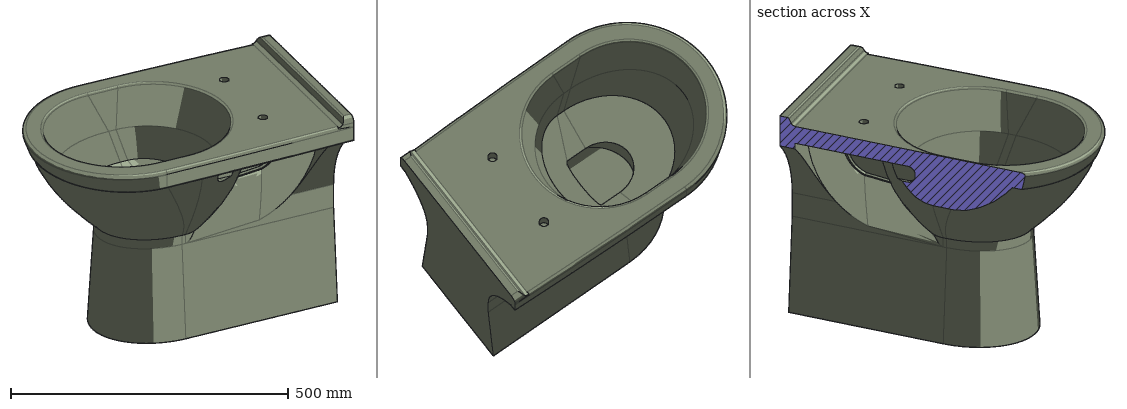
import cadquery as cq

PICK_MARGIN = 1.0

PLATE_DEPTH = 560.0
PLATE_HALF_WIDTH = 180.0
PLATE_BACK_HALF_WIDTH = 174.0
PLATE_NOSE_CENTRE = PLATE_DEPTH - PLATE_HALF_WIDTH
PLATE_TOP = 400.0
PLATE_BOTTOM = 365.0
PLATE_TAPER_START = 393.0
PLATE_BOTTOM_DEPTH = 549.0
PLATE_TOP_ROUND = 6.0
PLATE_BOTTOM_ROUND = 3.0

LEDGE_TOP = 415.0
LEDGE_TOP_DEPTH = 17.0
LEDGE_FOOT_DEPTH = 31.0
LEDGE_COVE_DEPTH = 22.5
LEDGE_COVE_TOP = 405.0
LEDGE_COVE_MIDDLE = (25.8, 401.4)
LEDGE_END_ROUND = 12.0
LEDGE_FRONT_ROUND = 4.0

PEDESTAL_TOP = 187.5
PEDESTAL_FOOT = dict(half_width=108.0, nose_start=306.0, front=440.5)
PEDESTAL_NECK = dict(half_width=92.5, nose_start=306.0, front=430.0)

BOWL_NECK_TOP = 206.0
BOWL_NECK = dict(
    half_width=PEDESTAL_NECK["half_width"],
    back=235.0,
    back_centre=299.0,
    front_centre=PEDESTAL_NECK["nose_start"],
    front=PEDESTAL_NECK["front"],
)
BOWL_SECTIONS = [
    dict(BOWL_NECK, z=BOWL_NECK_TOP),
    dict(z=255.0, half_width=126.0, back=185.0, back_centre=303.0, front_centre=320.0, front=478.0),
    dict(z=309.0, half_width=151.0, back=158.0, back_centre=302.0, front_centre=345.0, front=520.0),
    dict(z=372.0, half_width=169.0, back=150.0, back_centre=302.0, front_centre=378.0, front=549.0),
]

OPENING = dict(half_width=141.5, back=177.0, back_centre=318.0, front_centre=380.0, front=524.5)
OPENING_ROUND = 4.5
RIM_WALL_BOTTOM = dict(z=322.0, half_width=125.0, back=203.0, back_centre=330.0, front_centre=345.0, front=504.0)
FUNNEL_MIDDLE = dict(z=257.0, half_width=118.0, back=225.0, back_centre=310.0, front_centre=325.0, front=461.0)
SUMP_EDGE = dict(half_width=52.5, back=276.0, back_centre=284.0, front_centre=325.0, front=383.0)
SUMP_EDGE_HEIGHT = 205.0

HOUSING_DEPTH = PEDESTAL_NECK["nose_start"]
FLARE_START = 235.0
FLARE_END_HALF_WIDTH = 160.0

RECESS_PANEL_X = 50.0
RECESS_SHOULDER_X = 81.0
RECESS_MOUTH_X = PEDESTAL_NECK["half_width"]
RECESS_FRONT = 300.0
LOWER_PANEL_X = 42.0

MOUTH = dict(
    top_back=(30.0, PLATE_BOTTOM),
    swell=(70.0, 252.0),
    floor_back=(150.0, 199.0),
    floor_front=(RECESS_FRONT, PEDESTAL_TOP),
    top_front=(RECESS_FRONT, PLATE_BOTTOM),
)
SHOULDER = dict(
    top_back=(46.0, 360.0),
    swell=(81.0, 273.0),
    floor_back=(141.0, 236.0),
    floor_front=(RECESS_FRONT, 222.0),
    top_front=(RECESS_FRONT, 358.0),
)
PANEL = dict(
    top_back=(82.0, 347.0),
    swell=(92.0, 300.0),
    floor_back=(124.0, 276.0),
    floor_front=(RECESS_FRONT, 260.0),
    top_front=(RECESS_FRONT, 341.0),
)
LOWER_PANEL_RIM = dict(
    top_back=(86.0, 330.0),
    swell=(95.0, 301.0),
    floor_back=(125.0, 278.0),
    floor_front=(RECESS_FRONT, 262.0),
    top_front=(RECESS_FRONT, 314.0),
)
LOWER_PANEL = dict(LOWER_PANEL_RIM, top_back=(88.0, 318.0), top_front=(RECESS_FRONT, 302.0))

SEAT_HOLE_DIAMETER = 17.0
SEAT_HOLE_X = 78.0
SEAT_HOLE_FROM_WALL = 135.5
SEAT_HOLE_DEPTH = 25.0

HAND_POCKET_X = 140.0
HAND_POCKET_BACK = 160.0
HAND_POCKET_FRONT = 267.0
HAND_POCKET_FLOOR = 334.0
HAND_POCKET_ROUND = 14.0


def half_ellipse(z, half_width, centre, length, front):
    """Half ellipse across the pan, bulging to the front or to the back."""
    start = 180 if front else 0
    long_axis_across = half_width >= length
    return cq.Edge.makeEllipse(
        half_width if long_axis_across else length,
        length if long_axis_across else half_width,
        pnt=cq.Vector(0, -centre, z),
        xdir=cq.Vector(1, 0, 0) if long_axis_across else cq.Vector(0, 1, 0),
        angle1=start if long_axis_across else start - 90,
        angle2=start + 180 if long_axis_across else start + 90,
    )


def egg_wire(z, half_width, back, back_centre, front_centre, front):
    """Level egg-shaped outline: two half ellipses joined by straight sides."""
    edges = [
        half_ellipse(z, half_width, back_centre, back_centre - back, front=False),
        half_ellipse(z, half_width, front_centre, front - front_centre, front=True),
    ]
    for x in (half_width, -half_width):
        side = cq.Edge.makeLine(cq.Vector(x, -back_centre, z), cq.Vector(x, -front_centre, z))
        edges.append(side)
    return cq.Wire.assembleEdges(cq.Wire.combine(edges)[0].Edges())


def egg_loft(sections, ruled=False):
    """Solid through egg-shaped levels, listed from the bottom up."""
    wires = [egg_wire(**section) for section in sections]
    return cq.Workplane(cq.Solid.makeLoft(wires, ruled))


def nosed_wire(z, back_half_width, half_width, nose_start, front):
    """Level outline with a straight edge on the wall, gently bowed sides and an elliptical nose."""
    edges = [half_ellipse(z, half_width, nose_start, front - nose_start, front=True)]
    for hand in (-1, 1):
        nose_end = cq.Vector(hand * half_width, -nose_start, z)
        wall_corner = cq.Vector(hand * back_half_width, 0, z)
        if half_width == back_half_width:
            edges.append(cq.Edge.makeLine(nose_end, wall_corner))
        else:
            edges.append(cq.Edge.makeTangentArc(nose_end, cq.Vector(0, 1, 0), wall_corner))
    edges.append(cq.Edge.makeLine(cq.Vector(-back_half_width, 0, z), cq.Vector(back_half_width, 0, z)))
    return cq.Wire.assembleEdges(cq.Wire.combine(edges)[0].Edges())


def plate_wire(z, front):
    """Level outline of the rim plate with its nose reaching the given depth."""
    return nosed_wire(z, PLATE_BACK_HALF_WIDTH, PLATE_HALF_WIDTH, PLATE_NOSE_CENTRE, front)


def make_plate():
    """Rim plate whose nose leans back towards its underside."""
    lower_wires = [plate_wire(PLATE_BOTTOM, PLATE_BOTTOM_DEPTH), plate_wire(PLATE_TAPER_START, PLATE_DEPTH)]
    lower = cq.Workplane(cq.Solid.makeLoft(lower_wires, True))
    lower = lower.faces("<Z").edges("not #Y").fillet(PLATE_BOTTOM_ROUND)
    upper_height = cq.Vector(0, 0, PLATE_TOP - PLATE_TAPER_START)
    upper_wire = plate_wire(PLATE_TAPER_START, PLATE_DEPTH)
    upper = cq.Workplane(cq.Solid.extrudeLinear(upper_wire, [], upper_height))
    upper = upper.faces(">Z").edges("not(>Y)").fillet(PLATE_TOP_ROUND)
    return lower.union(upper)


def make_ledge():
    """Raised strip along the wall with a coved foot and rounded ends."""
    cove_depth, cove_height = LEDGE_COVE_MIDDLE
    end_to_end = 2 * PLATE_BACK_HALF_WIDTH
    ledge = (
        cq.Workplane("YZ", origin=(-PLATE_BACK_HALF_WIDTH, 0, 0))
        .moveTo(0, PLATE_TAPER_START)
        .lineTo(0, LEDGE_TOP)
        .lineTo(-LEDGE_TOP_DEPTH, LEDGE_TOP)
        .lineTo(-LEDGE_COVE_DEPTH, LEDGE_COVE_TOP)
        .threePointArc((-cove_depth, cove_height), (-LEDGE_FOOT_DEPTH, PLATE_TOP))
        .lineTo(-LEDGE_FOOT_DEPTH, PLATE_TAPER_START)
        .close()
        .extrude(end_to_end)
    )
    top_edge = cq.selectors.BoxSelector(
        (-end_to_end, -LEDGE_TOP_DEPTH - PICK_MARGIN, LEDGE_TOP - PICK_MARGIN),
        (end_to_end, -LEDGE_TOP_DEPTH + PICK_MARGIN, LEDGE_TOP + PICK_MARGIN),
    )
    ledge = ledge.edges(top_edge).fillet(LEDGE_FRONT_ROUND)
    end_rounding = (
        cq.Workplane("XZ")
        .rect(end_to_end, 2 * LEDGE_TOP)
        .extrude(LEDGE_FOOT_DEPTH)
        .edges("|Y and >Z")
        .fillet(LEDGE_END_ROUND)
    )
    return ledge.intersect(end_rounding)


def make_pedestal():
    """Foot that narrows upwards from the floor."""
    wires = []
    for z, level in ((0, PEDESTAL_FOOT), (PEDESTAL_TOP, PEDESTAL_NECK)):
        half_width = level["half_width"]
        wires.append(nosed_wire(z, half_width, half_width, level["nose_start"], level["front"]))
    return cq.Workplane(cq.Solid.makeLoft(wires, True))


def make_bowl():
    """Outside of the bowl on its straight neck, with the hand pockets cut out."""
    neck_height = cq.Vector(0, 0, BOWL_NECK_TOP - PEDESTAL_TOP)
    neck = cq.Workplane(cq.Solid.extrudeLinear(egg_wire(PEDESTAL_TOP, **BOWL_NECK), [], neck_height))
    return egg_loft(BOWL_SECTIONS).union(neck).cut(both_sides(make_hand_pocket()))


def make_housing():
    """Block behind the bowl, flaring outwards under the rim plate."""
    half_width = PEDESTAL_NECK["half_width"]
    half = (
        cq.Workplane("XZ")
        .moveTo(0, PEDESTAL_TOP)
        .lineTo(half_width, PEDESTAL_TOP)
        .lineTo(half_width, FLARE_START)
        .tangentArcPoint((FLARE_END_HALF_WIDTH, PLATE_BOTTOM), relative=False)
        .lineTo(0, PLATE_BOTTOM)
        .close()
        .extrude(HOUSING_DEPTH)
    )
    return both_sides(half.cut(make_recess()))


def recess_wire(x, top_back, swell, floor_back, floor_front, top_front):
    """Outline of a side recess in an upright plane; each point is (depth, height)."""
    points = [cq.Vector(x, -depth, height) for depth, height in (floor_back, floor_front, top_front, top_back)]
    middle = cq.Vector(x, -swell[0], swell[1])
    edges = [cq.Edge.makeThreePointArc(points[-1], middle, points[0])]
    edges += [cq.Edge.makeLine(start, end) for start, end in zip(points, points[1:])]
    return cq.Wire.assembleEdges(edges)


def make_recess():
    """Side recess on +X: a mouth narrowing inwards to an upright panel with a deeper lower part."""
    mouth = recess_wire(RECESS_MOUTH_X, **MOUTH)
    shoulder = recess_wire(RECESS_SHOULDER_X, **SHOULDER)
    panel = recess_wire(RECESS_PANEL_X, **PANEL)
    rounded = cq.Workplane(cq.Solid.makeLoft([mouth, shoulder, panel], False))
    outside = recess_wire(PLATE_HALF_WIDTH, **MOUTH)
    outer = cq.Workplane(cq.Solid.makeLoft([outside, mouth], True))
    lower_rim = recess_wire(RECESS_PANEL_X, **LOWER_PANEL_RIM)
    lower_panel = recess_wire(LOWER_PANEL_X, **LOWER_PANEL)
    lower = cq.Workplane(cq.Solid.makeLoft([lower_rim, lower_panel], True))
    return outer.union(rounded).union(lower)


def make_hand_pocket():
    """Pocket on +X, cut into the bowl side just under the rim plate."""
    length = HAND_POCKET_FRONT - HAND_POCKET_BACK
    height = PLATE_BOTTOM - HAND_POCKET_FLOOR
    return (
        cq.Workplane("YZ", origin=(HAND_POCKET_X, 0, 0))
        .center(-HAND_POCKET_BACK - length / 2, HAND_POCKET_FLOOR + height / 2)
        .rect(length, height)
        .extrude(PLATE_HALF_WIDTH - HAND_POCKET_X)
        .edges("|X and <Y")
        .fillet(HAND_POCKET_ROUND)
    )


def both_sides(feature):
    """Feature on +X together with its mirror image on -X."""
    return feature.union(feature.mirror("YZ"))


def make_cavity():
    """Inside of the bowl: rim wall, funnel and round-bottomed sump."""
    sump_edge = dict(SUMP_EDGE, z=SUMP_EDGE_HEIGHT)
    rim_wall = egg_loft([RIM_WALL_BOTTOM, dict(OPENING, z=PLATE_TOP)], ruled=True)
    funnel = egg_loft([sump_edge, FUNNEL_MIDDLE, RIM_WALL_BOTTOM], ruled=True)
    radius = SUMP_EDGE["half_width"]
    sump_plan = cq.Workplane(cq.Solid.extrudeLinear(egg_wire(**sump_edge), [], cq.Vector(0, 0, -radius)))
    trough = (
        cq.Workplane("XZ", origin=(0, -SUMP_EDGE["back"], SUMP_EDGE_HEIGHT))
        .circle(radius)
        .extrude(SUMP_EDGE["front"] - SUMP_EDGE["back"])
    )
    return rim_wall.union(funnel).union(sump_plan.intersect(trough))


def make_seat_holes():
    """Pair of blind holes in the rim plate behind the opening."""
    return (
        cq.Workplane("XY", origin=(0, -SEAT_HOLE_FROM_WALL, PLATE_TOP))
        .pushPoints([(SEAT_HOLE_X, 0), (-SEAT_HOLE_X, 0)])
        .circle(SEAT_HOLE_DIAMETER / 2)
        .extrude(-SEAT_HOLE_DEPTH)
    )


def round_opening(body):
    """Round the top edge of the bowl opening."""
    half_width = OPENING["half_width"] + PICK_MARGIN
    around_opening = cq.selectors.BoxSelector(
        (-half_width, -OPENING["front"] - PICK_MARGIN, PLATE_TOP - PICK_MARGIN),
        (half_width, -OPENING["back"] + PICK_MARGIN, PLATE_TOP + PICK_MARGIN),
        boundingbox=True,
    )
    return body.edges(around_opening).fillet(OPENING_ROUND)


result = make_pedestal().union(make_housing()).union(make_bowl())
result = result.union(make_plate()).union(make_ledge())
result = result.cut(make_cavity()).cut(make_seat_holes())
result = round_opening(result)